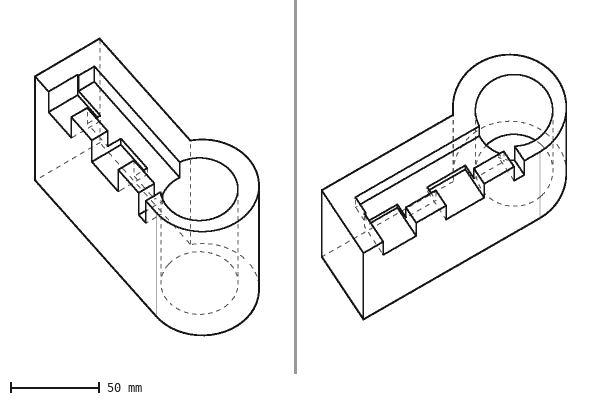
import cadquery as cq

length = 148.4
width = 64.0
height = 100.0
block_width = 44.8
tower_radius = width / 2
tower_x = length - tower_radius
tower_y = width / 2

bore_diameter = 43.5
bore_x = 117.5
bore_y = 29.1
bore_floor = 10.0

pocket_left = 14.0
pocket_front = 11.0
pocket_back = 31.2
pocket_depth = 14.8

notch_back = 20.2
notches = [
    (13.0, 34.9, notch_back, 19.7),
    (54.6, 79.8, notch_back, 20.8),
    (99.6, 106.4, bore_y, 21.2),
]


def top_cut(left, right, front, back, depth):
    """Rectangular cutter sunk from the top face to the given depth."""
    return cq.Workplane("XY").box(
        right - left, back - front, depth, centered=False
    ).translate((left, front, height - depth))


def make_body():
    block = cq.Workplane("XY").box(tower_x, block_width, height, centered=False)
    tower = cq.Workplane("XY").center(tower_x, tower_y).circle(tower_radius).extrude(height)
    return block.union(tower)


def make_bore():
    return (
        cq.Workplane("XY", origin=(bore_x, bore_y, bore_floor))
        .circle(bore_diameter / 2)
        .extrude(height - bore_floor)
    )


result = make_body().cut(make_bore())
result = result.cut(top_cut(pocket_left, bore_x, pocket_front, pocket_back, pocket_depth))
for left, right, back, depth in notches:
    result = result.cut(top_cut(left, right, 0, back, depth))